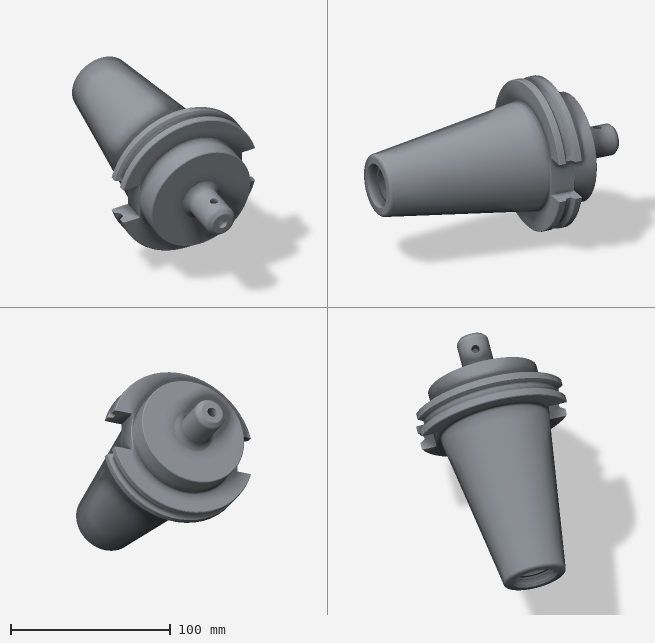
import cadquery as cq
import math

taper_end = 102.2
flange_start = 104.4
flange_end = 120.4
collar_end = 136.4
length = 165.1

small_end_diameter = 40.5
gauge_diameter = 69.8
flange_diameter = 97.1
collar_diameter = 70.2
pin_diameter = 20.1

nose_radius = 2.1
flange_chamfer = 0.5
pin_root_length = 4.8
pin_root_diameter = 26.7
pin_chamfer = 2.8
pin_shoulder_round = 2.3
pin_tip_round = 1.3
flange_root_round = 0.7
collar_chamfer = 0.5

groove_center = 112.5
groove_mouth_width = 7.0
groove_floor_width = 3.3
groove_depth = 3.1
groove_floor_round = 0.7

mouth_diameter = 28.4
mouth_chamfer = 1.7
counterbore_diameter = 26.7
counterbore_depth = 5.0
inner_step_diameter = 26.3
inner_step_depth = 6.5
socket_diameter = 22.0
socket_depth = 43.0
drill_point_angle = 118.0
coolant_diameter = 6.3
cross_hole_diameter = 5.3
cross_hole_x = 153.4

slot_width = 25.5
slot_floor_positive_y = 37.5
slot_floor_negative_y = 35.0


def revolve_about_x(profile):
    return profile.close().revolve(360, (0, 0, 0), (1, 0, 0))


def round_circle(body, x, radius, round_radius):
    """Fillet the circular edge of the given radius at station x."""
    tolerance = 0.02
    edges = body.edges("%CIRCLE").filter(
        lambda edge: abs(edge.Center().x - x) < tolerance and abs(edge.radius() - radius) < tolerance
    )
    return edges.fillet(round_radius)


def make_body():
    """Taper, flange, collar and pin as one turned profile."""
    pin_radius = pin_diameter / 2
    root_rise = (pin_root_diameter - pin_diameter) / 2
    root_radius = (pin_root_length**2 + root_rise**2) / (2 * root_rise)
    flange_radius = flange_diameter / 2
    profile = (
        cq.Workplane("XY")
        .lineTo(0, small_end_diameter / 2 - nose_radius)
        .radiusArc((nose_radius, small_end_diameter / 2), nose_radius)
        .lineTo(taper_end, gauge_diameter / 2)
        .lineTo(flange_start, gauge_diameter / 2)
        .lineTo(flange_start, flange_radius - flange_chamfer)
        .lineTo(flange_start + flange_chamfer, flange_radius)
        .lineTo(groove_center - groove_mouth_width / 2, flange_radius)
        .lineTo(groove_center - groove_floor_width / 2, flange_radius - groove_depth)
        .lineTo(groove_center + groove_floor_width / 2, flange_radius - groove_depth)
        .lineTo(groove_center + groove_mouth_width / 2, flange_radius)
        .lineTo(flange_end - flange_chamfer, flange_radius)
        .lineTo(flange_end, flange_radius - flange_chamfer)
        .lineTo(flange_end, collar_diameter / 2)
        .lineTo(collar_end - collar_chamfer, collar_diameter / 2)
        .lineTo(collar_end, collar_diameter / 2 - collar_chamfer)
        .lineTo(collar_end, pin_root_diameter / 2)
        .radiusArc((collar_end + pin_root_length, pin_radius), -root_radius)
        .lineTo(length - pin_chamfer, pin_radius)
        .lineTo(length, pin_radius - pin_chamfer)
        .lineTo(length, 0)
    )
    body = revolve_about_x(profile)
    groove_floor_radius = flange_radius - groove_depth
    body = round_circle(body, flange_start, gauge_diameter / 2, flange_root_round)
    body = round_circle(body, flange_end, collar_diameter / 2, flange_root_round)
    for side in (-1, 1):
        corner_x = groove_center + side * groove_floor_width / 2
        body = round_circle(body, corner_x, groove_floor_radius, groove_floor_round)
    body = round_circle(body, length - pin_chamfer, pin_radius, pin_shoulder_round)
    return round_circle(body, length, pin_radius - pin_chamfer, pin_tip_round)


def make_bore():
    """Stepped socket with a drill point, continued by the coolant hole."""
    coolant_radius = coolant_diameter / 2
    socket_radius = socket_diameter / 2
    point_length = (socket_radius - coolant_radius) / math.tan(math.radians(drill_point_angle / 2))
    profile = (
        cq.Workplane("XY")
        .lineTo(0, mouth_diameter / 2)
        .lineTo(mouth_chamfer, counterbore_diameter / 2)
        .lineTo(counterbore_depth, counterbore_diameter / 2)
        .lineTo(counterbore_depth, inner_step_diameter / 2)
        .lineTo(inner_step_depth, inner_step_diameter / 2)
        .lineTo(inner_step_depth, socket_radius)
        .lineTo(socket_depth, socket_radius)
        .lineTo(socket_depth + point_length, coolant_radius)
        .lineTo(length, coolant_radius)
        .lineTo(length, 0)
    )
    return revolve_about_x(profile)


def make_drive_slot(side, floor):
    """Box outside the slot floor on one Y side of the flange."""
    depth = flange_diameter / 2 - floor
    return (
        cq.Workplane("XY")
        .box(flange_end - flange_start, depth, slot_width)
        .translate(((flange_start + flange_end) / 2, side * (floor + depth / 2), 0))
    )


def make_cross_hole():
    """Hole from the top of the pin down into the coolant hole."""
    return (
        cq.Workplane("XY")
        .center(cross_hole_x, 0)
        .circle(cross_hole_diameter / 2)
        .extrude(pin_diameter / 2)
    )


result = make_body().cut(make_bore()).cut(make_cross_hole())
for side, floor in ((1, slot_floor_positive_y), (-1, slot_floor_negative_y)):
    result = result.cut(make_drive_slot(side, floor))